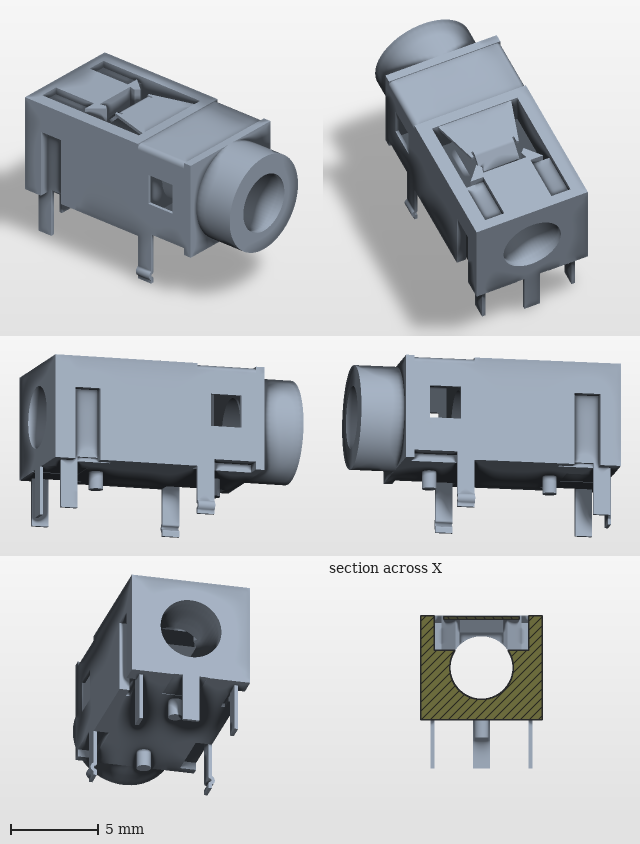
import cadquery as cq
import math


total_length = 15.0
body_width = 7.0
body_height = 6.0
pin_drop = 2.76
half_width = body_width / 2

block_length = 8.5
flange_start = 12.0
flange_end = 12.5
axis_height = body_height / 2
barrel_radius = body_height / 2
bore_radius = 1.8
rear_collar_end = 8.88
front_collar_start = 11.58
floor_top = 1.18
peg_positions = (3.5, 10.5)
peg_diameter = 0.82
peg_drop = 1.0

well_rear = 0.6
well_front = 7.89
well_half_width = 2.68
well_floor = 4.02
pocket_front = 3.48
pocket_inner_y = 1.48
tab_end = 3.76
tab_end_half_width = 1.35
notch_x = 4.17
notch_half_width = 1.25
barb_x = 4.44
barb_root_half_width = 2.28

recess_rear = 1.2
recess_front = 2.7
recess_top = 4.17

sheet = 0.2
shell_top = 5.94
shell_bottom = 0.45
shell_bend = 0.3
shell_inner_y = half_width - sheet
under_floor_half_width = 2.55
leg_width = 1.0
leg_bump_height = -2.26
leg_bump_reach = 3.68
leg_bump_radius = 0.3
leg_bump_blend = 0.1
window_rear = 9.3
window_front = 11.12
window_bottom = 2.38
window_top = 4.26

tongue_tip = 5.07
tongue_tip_half_width = 1.48
tongue_root_half_width = 2.48
slit_end = 5.46
slit_half_width = 1.35
strip_half_width = 1.23
strip_bend_start = 5.31
strip_bend_radius = 0.25
strip_angle = math.radians(45)
strip_end = 4.42

contact_sheet = 0.22
contact_rear = 0.51
contact_front = pocket_front
contact_top = 5.56
contact_half_width = 2.92
contact_inner_y = contact_half_width - contact_sheet
contact_bend = 0.32
contact_bottom = 0.22
side_pin_width = 0.98

rear_pin_width = 0.98
foot_width = 1.98
foot_length = 2.7
foot_top = 0.22


def box(x0, x1, y0, y1, z0, z1):
    """Axis-aligned box between the given limits."""
    return cq.Workplane("XY").box(x1 - x0, y1 - y0, z1 - z0, centered=False).translate((x0, y0, z0))


def wide_box(x0, x1, half_y, z0, z1):
    """Box centred on the plane Y = 0."""
    return box(x0, x1, -half_y, half_y, z0, z1)


def both_sides(body):
    """The body together with its mirror image in the plane Y = 0."""
    return body.union(body.mirror("XZ"))


def rod(x0, x1, radius):
    """Cylinder along the plug axis."""
    return cq.Workplane("YZ", origin=(x0, 0, axis_height)).circle(radius).extrude(x1 - x0)


def channel(x0, x1, half_y, z0, z1, thickness, bend):
    """Sheet bent into an upside-down U, open at the bottom."""
    outer = wide_box(x0, x1, half_y, z0, z1).edges("|X and >Z").fillet(bend)
    inner = wide_box(x0, x1, half_y - thickness, z0, z1 - thickness)
    return outer.cut(inner.edges("|X and >Z").fillet(bend - thickness))


def make_shell_leg():
    """Leg on the +Y side, with a hollow snap bump bulging outwards."""
    leg_end = block_length + leg_width
    bump_y = leg_bump_reach - leg_bump_radius
    hollow_radius = leg_bump_radius - sheet
    bump_axis = cq.Workplane("YZ", origin=(block_length, bump_y, leg_bump_height))
    bump = bump_axis.circle(leg_bump_radius).extrude(leg_width)
    hollow = bump_axis.circle(hollow_radius).extrude(leg_width)
    leg = box(block_length, leg_end, shell_inner_y, half_width, -pin_drop, shell_bottom)
    bump_room = box(block_length, leg_end, shell_inner_y, leg_bump_reach, -pin_drop, shell_bottom)
    leg = leg.union(bump.intersect(bump_room)).cut(hollow)
    for face_y, radius in ((half_width, leg_bump_radius), (shell_inner_y, hollow_radius)):
        half_chord = math.sqrt(radius**2 - (face_y - bump_y) ** 2)
        for side in (-1, 1):
            corner = (block_length + leg_width / 2, face_y, leg_bump_height + side * half_chord)
            leg = leg.edges(cq.selectors.NearestToPointSelector(corner)).fillet(leg_bump_blend)
    return leg


def make_tongue():
    """Flat tapered plate whose middle strip is bent down towards the bore."""
    plate_bottom = shell_top - sheet
    half_outline = [
        (block_length, 0),
        (block_length, tongue_root_half_width),
        (tongue_tip, tongue_tip_half_width),
        (tongue_tip, slit_half_width),
        (slit_end, slit_half_width),
        (slit_end, 0),
    ]
    half_plate = cq.Workplane("XY", origin=(0, 0, plate_bottom)).polyline(half_outline).close().extrude(sheet)

    def bend_point(radius, angle):
        """Point (X, Z) of the strip's bend, at an angle from its start."""
        return (
            strip_bend_start - radius * math.sin(angle),
            shell_top - strip_bend_radius + radius * math.cos(angle),
        )

    inner_radius = strip_bend_radius - sheet
    bend_exit = bend_point(strip_bend_radius, strip_angle)
    slope_run = bend_exit[0] - strip_end
    tip_top = (strip_end, bend_exit[1] - slope_run * math.tan(strip_angle))
    tip_bottom = (
        tip_top[0] + sheet * math.sin(strip_angle),
        tip_top[1] - sheet * math.cos(strip_angle),
    )
    strip = (
        cq.Workplane("XZ", origin=(0, strip_half_width, 0))
        .moveTo(slit_end, shell_top)
        .lineTo(strip_bend_start, shell_top)
        .threePointArc(bend_point(strip_bend_radius, strip_angle / 2), bend_exit)
        .lineTo(*tip_top)
        .lineTo(*tip_bottom)
        .lineTo(*bend_point(inner_radius, strip_angle))
        .threePointArc(bend_point(inner_radius, strip_angle / 2), (strip_bend_start, plate_bottom))
        .lineTo(slit_end, plate_bottom)
        .close()
        .extrude(2 * strip_half_width)
    )
    return both_sides(half_plate).union(strip)


def make_shell():
    """Bent sheet over the front of the housing, with two legs and the spring tongue."""
    cover = channel(block_length, flange_start, half_width, shell_bottom, shell_top, sheet, shell_bend)
    window = wide_box(window_rear, window_front, half_width, window_bottom, window_top)
    return cover.cut(window).union(both_sides(make_shell_leg())).union(make_tongue())


def make_side_contact():
    """Bent sheet bridging the block, with a solder pin on either side."""
    bridge = channel(
        contact_rear,
        contact_front,
        contact_half_width,
        contact_bottom,
        contact_top,
        contact_sheet,
        contact_bend,
    )
    pin_end = contact_rear + side_pin_width
    pin = box(contact_rear, pin_end, contact_inner_y, contact_half_width, -pin_drop, contact_bottom)
    return bridge.union(both_sides(pin))


def make_rear_pin():
    """Flat foot under the block with a solder pin bent down at the rear face."""
    foot = wide_box(0, foot_length, foot_width / 2, foot_top - sheet, foot_top)
    return foot.union(wide_box(0, sheet, rear_pin_width / 2, -pin_drop, foot_top))


def make_well():
    """Opening in the top of the block, on either side of and in front of the tab."""
    tab_half_outline = [
        (pocket_front, 0),
        (tab_end, 0),
        (tab_end, tab_end_half_width),
        (notch_x, notch_half_width),
        (barb_x, pocket_inner_y),
        (pocket_front, barb_root_half_width),
    ]
    tab_height = body_height - well_floor
    tab = cq.Workplane("XY", origin=(0, 0, well_floor)).polyline(tab_half_outline).close().extrude(tab_height)
    front_well = wide_box(pocket_front, well_front, well_half_width, well_floor, body_height)
    pocket = box(well_rear, pocket_front, pocket_inner_y, well_half_width, contact_top, body_height)
    return front_well.cut(both_sides(tab)).union(both_sides(pocket))


def make_housing(shell, side_contact):
    """Moulded body with recesses that fit the metal parts."""
    body = wide_box(0, block_length, half_width, 0, body_height)
    for x0, x1 in ((block_length, rear_collar_end), (front_collar_start, flange_start)):
        body = body.union(wide_box(x0, x1, shell_inner_y, shell_bottom, shell_top - sheet))
    floor = wide_box(block_length, flange_start, shell_inner_y, shell_bottom, floor_top)
    under_floor = wide_box(block_length, flange_start, under_floor_half_width, 0, shell_bottom)
    flange = wide_box(flange_start, flange_end, half_width, 0, body_height)
    body = body.union(floor).union(under_floor).union(flange)
    body = body.union(rod(flange_end, total_length, barrel_radius))
    for peg_x in peg_positions:
        peg = cq.Workplane("XY", origin=(peg_x, 0, -peg_drop)).circle(peg_diameter / 2).extrude(peg_drop)
        body = body.union(peg)

    recess = box(recess_rear, recess_front, contact_half_width, half_width, 0, recess_top)
    contact_slot = box(contact_rear, contact_front, contact_inner_y, contact_half_width, 0, contact_bottom)
    foot_slot = wide_box(0, foot_length, foot_width / 2, 0, foot_top)
    body = body.cut(make_well()).cut(rod(0, total_length, bore_radius))
    body = body.cut(both_sides(recess)).cut(both_sides(contact_slot)).cut(foot_slot)
    return body.cut(side_contact).cut(shell)


shell = make_shell()
side_contact = make_side_contact()
rear_pin = make_rear_pin()
housing = make_housing(shell, side_contact)

bodies = (housing, shell, side_contact, rear_pin)
result = cq.Compound.makeCompound([body.solids().val() for body in bodies])